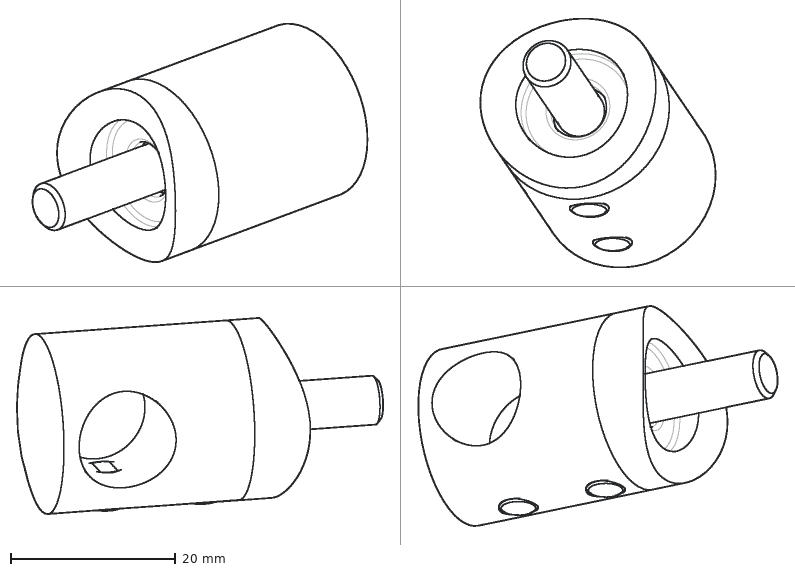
import cadquery as cq
import math

body_radius = 11.0

housing_length = 24.0
dome_radius = 30.0
dome_height = dome_radius - math.sqrt(dome_radius**2 - body_radius**2)
bar_hole_radius = 6.1
bar_hole_depth = 15.0
bar_hole_y = 16.0

screw_radius = 2.4
screw_chamfer = 0.3
screw_length = 5.0
screw_spacing = 12.0
screw_positions = [bar_hole_y, bar_hole_y - screw_spacing]

saddle_length = 7.0
tube_radius = 21.2
tube_axis_y = -saddle_length - math.sqrt(tube_radius**2 - body_radius**2)
recess_radius = 7.0
recess_floor_y = -2.0
recess_fillet = 0.5
bore_radius = 3.5
bore_fillet = 0.5

stud_radius = 3.0
stud_tip_y = -18.39
stud_tip_chamfer = 0.55
shank_radius = bore_radius
shank_chamfer = shank_radius - stud_radius
shank_depth = 8.0


def make_screw_hole(y):
    """Cylinder that fits one set screw, drilled upward from the lowest line of the housing."""
    return cq.Workplane("XY", origin=(0, y, -body_radius)).circle(screw_radius).extrude(screw_length)


def make_screw(y):
    """Set screw along Z, its chamfered outer end level with the lowest line of the housing."""
    return make_screw_hole(y).faces("<Z").chamfer(screw_chamfer)


def make_housing():
    barrel = cq.Workplane("XZ").circle(body_radius).extrude(-(housing_length + dome_height))
    dome_centre_y = housing_length + dome_height - dome_radius
    dome_ball = cq.Workplane("XY", origin=(0, dome_centre_y, 0)).sphere(dome_radius)
    bar_hole = (
        cq.Workplane("YZ", origin=(-body_radius, bar_hole_y, 0))
        .circle(bar_hole_radius)
        .extrude(bar_hole_depth)
    )
    shank_socket = cq.Workplane("XZ").circle(shank_radius).extrude(-shank_depth)
    housing = barrel.intersect(dome_ball).cut(bar_hole).cut(shank_socket)
    for y in screw_positions:
        housing = housing.cut(make_screw_hole(y))
    return housing


def make_saddle():
    block = cq.Workplane("XZ").circle(body_radius).extrude(saddle_length)
    tube = (
        cq.Workplane("XY", origin=(0, tube_axis_y, 0))
        .circle(tube_radius)
        .extrude(body_radius, both=True)
    )
    cavity = (
        cq.Workplane("XY")
        .lineTo(bore_radius, 0)
        .lineTo(bore_radius, recess_floor_y + bore_fillet)
        .tangentArcPoint((bore_fillet, -bore_fillet))
        .lineTo(recess_radius - recess_fillet, recess_floor_y)
        .tangentArcPoint((recess_fillet, -recess_fillet))
        .lineTo(recess_radius, -saddle_length)
        .lineTo(0, -saddle_length)
        .close()
        .revolve(360, (0, 0, 0), (0, 1, 0))
    )
    return block.cut(tube).cut(cavity)


def make_stud():
    return (
        cq.Workplane("XY")
        .moveTo(0, shank_depth)
        .lineTo(shank_radius, shank_depth)
        .lineTo(shank_radius, 0)
        .lineTo(stud_radius, -shank_chamfer)
        .lineTo(stud_radius, stud_tip_y + stud_tip_chamfer)
        .lineTo(stud_radius - stud_tip_chamfer, stud_tip_y)
        .lineTo(0, stud_tip_y)
        .close()
        .revolve(360, (0, 0, 0), (0, 1, 0))
    )


housing = make_housing()
saddle = make_saddle()
stud = make_stud()
screws = [make_screw(y) for y in screw_positions]
result = cq.Compound.makeCompound(
    [housing.val(), saddle.val(), stud.val(), *[screw.val() for screw in screws]]
)